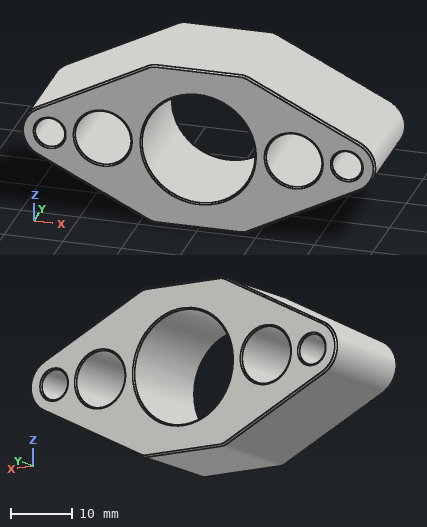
import cadquery as cq
import math

length = 60.3
depth = 18.15
height = 28.5

end_radius = 4.8
shoulder_half_width = 7.9
shoulder_radius = 3.0

center_hole_radius = 9.65
middle_hole_radius = 4.75
middle_hole_x = 16.3
end_hole_radius = 2.55
end_hole_x = length / 2 - end_radius
end_hole_z = 0.2

edge_chamfer = 0.3
hole_chamfer = 0.25


def flank_end(rise):
    """Offset from an end's center to where a flank touches its rounding.

    The flank starts at a shoulder corner lying `rise` above that center.
    """
    run = end_hole_x - shoulder_half_width
    slope = math.atan2(rise, run) - math.asin(end_radius / math.hypot(run, rise))
    return end_radius * math.sin(slope), end_radius * math.cos(slope)


def make_body():
    """Extrude the outline along Y, soften its shoulders and chamfer both faces."""
    half_height = height / 2
    upper_x, upper_z = flank_end(half_height - end_hole_z)
    lower_x, lower_z = flank_end(half_height + end_hole_z)
    upper = (end_hole_x + upper_x, end_hole_z + upper_z)
    tip = (length / 2, end_hole_z)
    lower = (end_hole_x + lower_x, end_hole_z - lower_z)

    body = (
        cq.Workplane("XZ")
        .moveTo(-shoulder_half_width, half_height)
        .lineTo(shoulder_half_width, half_height)
        .lineTo(*upper)
        .threePointArc(tip, lower)
        .lineTo(shoulder_half_width, -half_height)
        .lineTo(-shoulder_half_width, -half_height)
        .lineTo(-upper[0], -upper[1])
        .threePointArc((-tip[0], -tip[1]), (-lower[0], -lower[1]))
        .close()
        .extrude(depth / 2, both=True)
    )
    body = body.edges("|Y").edges("<Z or >Z").fillet(shoulder_radius)
    return body.faces("<Y or >Y").chamfer(edge_chamfer)


def make_hole(x, z, radius):
    """Cutter along Y that also countersinks both faces by the hole chamfer."""
    half_depth = depth / 2
    mouth_radius = radius + hole_chamfer
    profile = [
        (0, -half_depth),
        (mouth_radius, -half_depth),
        (radius, hole_chamfer - half_depth),
        (radius, half_depth - hole_chamfer),
        (mouth_radius, half_depth),
        (0, half_depth),
    ]
    cutter = cq.Workplane("XY").polyline(profile).close().revolve(360, (0, 0), (0, 1))
    return cutter.translate((x, 0, z))


result = make_body().cut(make_hole(0, 0, center_hole_radius))
for side in (-1, 1):
    result = result.cut(make_hole(side * middle_hole_x, 0, middle_hole_radius))
    result = result.cut(make_hole(side * end_hole_x, side * end_hole_z, end_hole_radius))